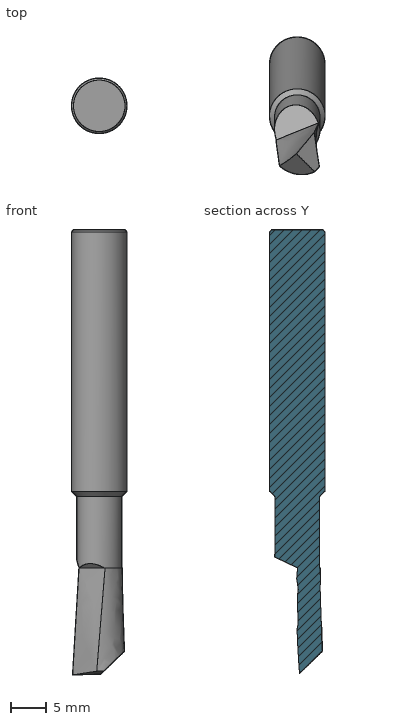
import cadquery as cq
import math


total_length = 63.5
shank_radius = 7.9375 / 2
top_chamfer = 0.3
neck_radius = 3.24
neck_bottom = 15.25
shoulder_height = shank_radius - neck_radius
neck_top = 25.45

root_radius = 3.31
tip_radius = 3.82
root_twist = 28.5
tip_twist = 0.0
root_flat_angle = 76.0
tip_flat_angle = 84.0

end_relief = 7.0
end_dish = 1.2
corner_start_x = 0.1
corner_angle = 44.0

cutter_size = 40.0


def polar_point(radius, angle):
    """Point in the XY plane at a radius and an angle in degrees."""
    return (radius * math.cos(math.radians(angle)), radius * math.sin(math.radians(angle)))


def make_shank_and_neck():
    """Revolved body with a chamfered top and a conical shoulder."""
    return (
        cq.Workplane("XZ")
        .moveTo(0, neck_bottom)
        .lineTo(neck_radius, neck_bottom)
        .lineTo(neck_radius, neck_top)
        .lineTo(shank_radius, neck_top + shoulder_height)
        .lineTo(shank_radius, total_length - top_chamfer)
        .lineTo(shank_radius - top_chamfer, total_length)
        .lineTo(0, total_length)
        .close()
        .revolve(360, (0, 0, 0), (0, 1, 0))
    )


def half_space(origin, normal):
    """Large block lying on the side of a plane that its normal points to."""
    plane = cq.Plane(origin=origin, normal=normal)
    return cq.Workplane(plane).rect(cutter_size, cutter_size).extrude(cutter_size)


def neck_run_out(direction_angle, distance):
    """45 degree cutter sloping up and outward from a chord at the neck bottom."""
    x, y = polar_point(distance, direction_angle)
    out_x, out_y = polar_point(1, direction_angle)
    return half_space((x, y, neck_bottom), (out_x, out_y, -1))


def blade_section(radius, twist, flat_angle, height):
    """Half disk whose rake face runs through the axis, with a flank flat at the cutting edge."""
    cutting_edge_angle = 180 + twist
    heel_angle = cutting_edge_angle + flat_angle
    trailing_angle = 360 + twist
    return (
        cq.Workplane("XY", origin=(0, 0, height))
        .moveTo(*polar_point(radius, cutting_edge_angle))
        .lineTo(*polar_point(radius, heel_angle))
        .threePointArc(
            polar_point(radius, (heel_angle + trailing_angle) / 2),
            polar_point(radius, trailing_angle),
        )
        .close()
        .val()
    )


def make_blade():
    """Twisted blade with a relieved end face and its trailing corner cut away."""
    root = blade_section(root_radius, root_twist, root_flat_angle, neck_bottom)
    tip = blade_section(tip_radius, tip_twist, tip_flat_angle, 0)
    blade = cq.Workplane(cq.Solid.makeLoft([tip, root], True))

    relief_slope = math.tan(math.radians(end_relief))
    dish_slope = math.tan(math.radians(end_dish))
    blade = blade.cut(half_space((-tip_radius, 0, 0), (dish_slope, -relief_slope, -1)))

    corner = math.radians(corner_angle)
    corner_cutter = half_space((corner_start_x, 0, 0), (math.sin(corner), 0, -math.cos(corner)))
    return blade.cut(corner_cutter)


flat_distance = root_radius * math.cos(math.radians(root_flat_angle / 2))
flat_direction = 180 + root_twist + root_flat_angle / 2

body = make_shank_and_neck()
body = body.cut(neck_run_out(90 + root_twist, 0))
body = body.cut(neck_run_out(flat_direction, flat_distance))

result = body.union(make_blade())